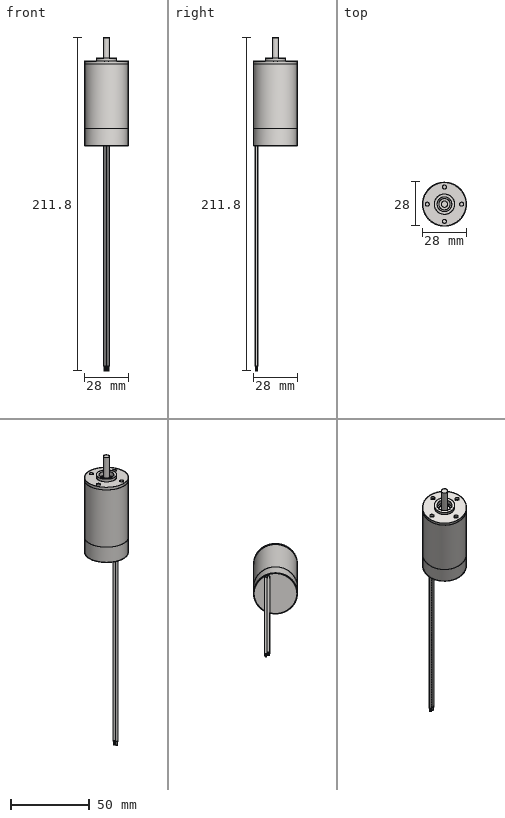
import cadquery as cq

total_height = 211.8
shaft_projection = 15.0
wire_bottom = shaft_projection - total_height

case_diameter = 28.0
flange_thickness = 2.0
cap_top = -42.8
case_bottom = -54.0
cap_chamfer = 0.5

boss_diameter = 13.0
boss_height = 2.0
bearing_diameter = 9.3
bearing_bore = 7.2
bearing_thickness = 0.8

shaft_diameter = 4.0

hole_count = 4
hole_diameter = 2.5
hole_circle_diameter = 21.8

wire_diameter = 1.7
wire_spacing = 2.0
wire_y = -12.0
core_diameter = 1.0
core_bare_length = 3.0


def cylinder(diameter, bottom, top, x=0, y=0):
    """Upright cylinder between two heights."""
    return cq.Workplane("XY", origin=(x, y, bottom)).circle(diameter / 2).extrude(top - bottom)


def make_flange():
    """Front plate with a raised boss, a bore for the bearing and four mounting holes."""
    plate = cylinder(case_diameter, -flange_thickness, 0)
    boss = cylinder(boss_diameter, 0, boss_height)
    bore = cylinder(bearing_diameter, -flange_thickness, boss_height)
    holes = (
        cq.Workplane("XY")
        .polarArray(hole_circle_diameter / 2, 0, 360, hole_count)
        .circle(hole_diameter / 2)
        .extrude(-flange_thickness)
    )
    return plate.union(boss).cut(bore).cut(holes)


def make_bearing():
    """Thin ring at the bottom of the flange bore, clear of the shaft."""
    bearing_top = bearing_thickness - flange_thickness
    ring = cylinder(bearing_diameter, -flange_thickness, bearing_top)
    return ring.cut(cylinder(bearing_bore, -flange_thickness, bearing_top))


def make_housing():
    """Middle case section, directly behind the flange."""
    return cylinder(case_diameter, cap_top, -flange_thickness)


def make_cap():
    """Rear case section with a chamfered lower rim."""
    return cylinder(case_diameter, case_bottom, cap_top).faces("<Z").chamfer(cap_chamfer)


def make_shaft():
    """Output shaft standing on the housing."""
    return cylinder(shaft_diameter, -flange_thickness, shaft_projection)


def make_wire(x):
    """Insulated lead with a bare core at its free end."""
    insulation = cylinder(wire_diameter, wire_bottom + core_bare_length, case_bottom, x, wire_y)
    core = cylinder(core_diameter, wire_bottom, case_bottom, x, wire_y)
    return insulation.union(core)


flange = make_flange()
bearing = make_bearing()
housing = make_housing()
cap = make_cap()
shaft = make_shaft()
wires = [make_wire(side * wire_spacing / 2) for side in (-1, 1)]

result = cq.Compound.makeCompound(
    [body.val() for body in (flange, bearing, housing, cap, shaft, *wires)]
)